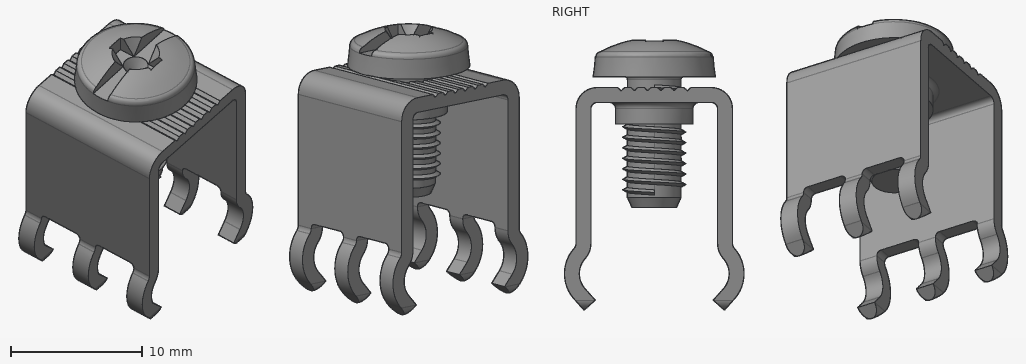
import cadquery as cq
import math


SIDE = 11.95
SHEET = 1.15
BRACKET_TOP = 17.0
BEND_INNER_R = 0.47
BEND_OUTER_R = BEND_INNER_R + SHEET

GROOVE_COUNT = 6
GROOVE_PITCH = 1.0
GROOVE_DEPTH = 0.25
GROOVE_HALF_WIDTH = 0.27

PIN_SPAN = 13.72
PIN_WIDTH = 1.5
PIN_COUNT = 3
FLARE_R = 0.58
BULGE_INNER_R = 1.73
BULGE_OUTER_R = BULGE_INNER_R + SHEET
PIN_TAIL = SHEET
GAP_FILLET = 0.4

COLLAR_R = 2.97
COLLAR_BOTTOM = 14.2
COLLAR_FILLET = 0.45

SCREW_TURN = 0.8
SHANK_R = 2.05
SHANK_BOTTOM = 7.83
TIP_R = 1.7
TIP_HEIGHT = 0.78
NECK_FILLET = 0.19
THREAD_CREST_R = 2.4
THREAD_TURNS = 10
THREAD_BOTTOM = 8.98
THREAD_PITCH = (BRACKET_TOP - THREAD_BOTTOM) / THREAD_TURNS
THREAD_EMBED = 0.08
THREAD_HALF_ANGLE = 30.0

HEAD_BOTTOM = 17.8
HEAD_BOTTOM_R = 4.68
HEAD_SIDE_TOP = 19.32
HEAD_SIDE_TOP_R = 4.51
DOME_EDGE_Z = 19.73
DOME_EDGE_R = 4.15
DOME_RIM_Z = 20.6
RECESS_RIM_R = 1.81

SLOT_WIDTH = 1.38
SLOT_FLOOR = HEAD_SIDE_TOP
CROSS_HALF_LENGTH = 2.0
RECESS_FLOOR_R = 0.95
RECESS_POINT_DEPTH = 1.34

HALF = SIDE / 2
FLARE_Y = HALF + FLARE_R
BULGE_Y = PIN_SPAN / 2 - BULGE_OUTER_R
CENTRE_DISTANCE = FLARE_R + SHEET + BULGE_INNER_R
SWING = math.acos((FLARE_Y - BULGE_Y) / CENTRE_DISTANCE)
BULGE_Z = BULGE_OUTER_R * math.sin(SWING) + PIN_TAIL * math.cos(SWING)
FLARE_Z = BULGE_Z + CENTRE_DISTANCE * math.sin(SWING)
GAP_TOP = FLARE_Z + GAP_FILLET


def on_circle(y, z, radius, angle):
    """Point in the YZ plane at an angle (radians) from +Y around a centre."""
    return (y + radius * math.cos(angle), z + radius * math.sin(angle))


def extrude_along_x(profile):
    return profile.extrude(HALF, both=True)


def pin_band():
    """Bent strip below the +Y wall, over the full bracket width."""
    flare_end = math.pi + SWING
    flare_mid = math.pi + SWING / 2

    def tail_end(radius):
        y, z = on_circle(BULGE_Y, BULGE_Z, radius, -SWING)
        return (y - PIN_TAIL * math.sin(SWING), z - PIN_TAIL * math.cos(SWING))

    inner_flare_r = FLARE_R + SHEET
    profile = (
        cq.Workplane("YZ")
        .moveTo(HALF, FLARE_Z)
        .threePointArc(
            on_circle(FLARE_Y, FLARE_Z, FLARE_R, flare_mid),
            on_circle(FLARE_Y, FLARE_Z, FLARE_R, flare_end),
        )
        .threePointArc(
            (BULGE_Y + BULGE_OUTER_R, BULGE_Z),
            on_circle(BULGE_Y, BULGE_Z, BULGE_OUTER_R, -SWING),
        )
        .lineTo(*tail_end(BULGE_OUTER_R))
        .lineTo(*tail_end(BULGE_INNER_R))
        .lineTo(*on_circle(BULGE_Y, BULGE_Z, BULGE_INNER_R, -SWING))
        .threePointArc(
            (BULGE_Y + BULGE_INNER_R, BULGE_Z),
            on_circle(BULGE_Y, BULGE_Z, BULGE_INNER_R, SWING),
        )
        .threePointArc(
            on_circle(FLARE_Y, FLARE_Z, inner_flare_r, flare_mid),
            (HALF - SHEET, FLARE_Z),
        )
        .close()
    )
    return extrude_along_x(profile)


def gap_cutter():
    """Gaps between the pins and the corners around their rounded tips, cut along Y."""
    pin_spacing = (SIDE - PIN_WIDTH) / (PIN_COUNT - 1)
    gap_width = pin_spacing - PIN_WIDTH
    cutter = cq.Workplane("XY").box(SIDE, 2 * PIN_SPAN, PIN_WIDTH / 2, centered=(True, True, False))
    for i in range(PIN_COUNT):
        pin_x = (i - (PIN_COUNT - 1) / 2) * pin_spacing
        rounded_tip = (
            cq.Workplane("XZ")
            .center(pin_x, PIN_WIDTH / 2)
            .circle(PIN_WIDTH / 2)
            .extrude(PIN_SPAN, both=True)
        )
        cutter = cutter.cut(rounded_tip)
    for i in range(PIN_COUNT - 1):
        gap_x = (i - (PIN_COUNT - 2) / 2) * pin_spacing
        gap = (
            cq.Workplane("XY")
            .center(gap_x, 0)
            .box(gap_width, 2 * PIN_SPAN, GAP_TOP, centered=(True, True, False))
            .edges("|Y and >Z")
            .fillet(GAP_FILLET)
        )
        cutter = cutter.union(gap)
    return cutter


def grooves():
    """V grooves along X in the top face."""
    cutter = cq.Workplane("YZ")
    for i in range(GROOVE_COUNT):
        y = (i - (GROOVE_COUNT - 1) / 2) * GROOVE_PITCH
        cutter = cutter.polyline(
            [
                (y - GROOVE_HALF_WIDTH, BRACKET_TOP),
                (y + GROOVE_HALF_WIDTH, BRACKET_TOP),
                (y, BRACKET_TOP - GROOVE_DEPTH),
            ]
        ).close()
    return extrude_along_x(cutter)


def bracket():
    wall_height = BRACKET_TOP - FLARE_Z
    outer = (
        cq.Workplane("XY")
        .workplane(offset=FLARE_Z)
        .box(SIDE, SIDE, wall_height, centered=(True, True, False))
        .edges("|X and >Z")
        .fillet(BEND_OUTER_R)
    )
    inner = (
        cq.Workplane("XY")
        .workplane(offset=FLARE_Z)
        .box(SIDE, SIDE - 2 * SHEET, wall_height - SHEET, centered=(True, True, False))
        .edges("|X and >Z")
        .fillet(BEND_INNER_R)
    )
    pins = pin_band()
    body = outer.cut(inner).union(pins).union(pins.mirror("XZ"))
    return body.cut(gap_cutter()).cut(grooves())


def collar():
    """Extruded collar that flares into the underside of the bracket."""
    plate_bottom = BRACKET_TOP - SHEET
    fillet_start = plate_bottom - COLLAR_FILLET
    fillet_mid = COLLAR_FILLET * (1 - math.sqrt(0.5))
    return (
        cq.Workplane("XZ")
        .moveTo(0, COLLAR_BOTTOM)
        .lineTo(COLLAR_R, COLLAR_BOTTOM)
        .lineTo(COLLAR_R, fillet_start)
        .threePointArc(
            (COLLAR_R + fillet_mid, plate_bottom - fillet_mid),
            (COLLAR_R + COLLAR_FILLET, plate_bottom),
        )
        .lineTo(0, plate_bottom)
        .close()
        .revolve(360, (0, 0, 0), (0, 1, 0))
    )


def dome_height(radius):
    """Height of the dome: the sphere on the Z axis through its inner and outer rims."""
    centre_z = (
        (DOME_RIM_Z**2 + RECESS_RIM_R**2 - DOME_EDGE_Z**2 - DOME_EDGE_R**2)
        / (2 * (DOME_RIM_Z - DOME_EDGE_Z))
    )
    sphere_r = math.hypot(RECESS_RIM_R, DOME_RIM_Z - centre_z)
    return centre_z + math.sqrt(sphere_r**2 - radius**2)


def screw_blank():
    """Turned shape of the screw, without its thread and drive."""
    neck_mid = NECK_FILLET * (1 - math.sqrt(0.5))
    return (
        cq.Workplane("XZ")
        .moveTo(0, SHANK_BOTTOM)
        .lineTo(TIP_R, SHANK_BOTTOM)
        .lineTo(SHANK_R, SHANK_BOTTOM + TIP_HEIGHT)
        .lineTo(SHANK_R, HEAD_BOTTOM - NECK_FILLET)
        .threePointArc(
            (SHANK_R + neck_mid, HEAD_BOTTOM - neck_mid),
            (SHANK_R + NECK_FILLET, HEAD_BOTTOM),
        )
        .lineTo(HEAD_BOTTOM_R, HEAD_BOTTOM)
        .lineTo(HEAD_SIDE_TOP_R, HEAD_SIDE_TOP)
        .tangentArcPoint((DOME_EDGE_R, DOME_EDGE_Z), relative=False)
        .threePointArc((DOME_EDGE_R / 2, dome_height(DOME_EDGE_R / 2)), (0, dome_height(0)))
        .close()
        .revolve(360, (0, 0, 0), (0, 1, 0))
    )


def drive():
    """Full-width slot along Y, short cross arm along X, and a conical recess."""
    cut_top = dome_height(0)
    slot_length = 2 * HEAD_BOTTOM_R
    floor = cq.Workplane("XY").workplane(offset=SLOT_FLOOR)
    slot = floor.rect(SLOT_WIDTH, slot_length).extrude(cut_top - SLOT_FLOOR)
    arm = floor.rect(2 * CROSS_HALF_LENGTH, SLOT_WIDTH).extrude(cut_top - SLOT_FLOOR)
    recess_slope = (RECESS_RIM_R - RECESS_FLOOR_R) / (DOME_RIM_Z - SLOT_FLOOR)
    cone = (
        cq.Workplane("XZ")
        .moveTo(0, SLOT_FLOOR - RECESS_POINT_DEPTH)
        .lineTo(RECESS_FLOOR_R, SLOT_FLOOR)
        .lineTo(RECESS_RIM_R + recess_slope * (cut_top - DOME_RIM_Z), cut_top)
        .lineTo(0, cut_top)
        .close()
        .revolve(360, (0, 0, 0), (0, 1, 0))
    )
    return slot.union(arm).union(cone)


def thread():
    """Left-hand triangular thread ridge, slightly sunk into the shank."""
    root_r = SHANK_R - THREAD_EMBED
    half_width = (THREAD_CREST_R - root_r) * math.tan(math.radians(THREAD_HALF_ANGLE))
    helix = cq.Wire.makeHelix(THREAD_PITCH, THREAD_PITCH * THREAD_TURNS, root_r, lefthand=True)
    ridge = (
        cq.Workplane("XZ")
        .polyline([(root_r, -half_width), (THREAD_CREST_R, 0), (root_r, half_width)])
        .close()
        .sweep(cq.Workplane(helix), isFrenet=True)
    )
    return ridge.translate((0, 0, THREAD_BOTTOM))


def screw():
    body = screw_blank().cut(drive()).union(thread())
    return body.rotate((0, 0, 0), (0, 0, 1), SCREW_TURN)


result = bracket().union(collar()).union(screw())